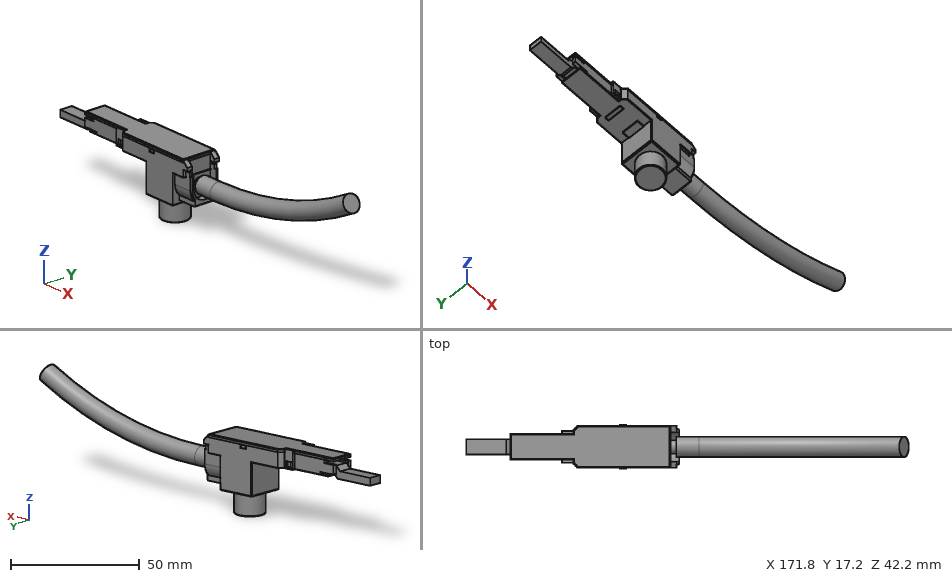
import cadquery as cq
import math


overall_length = 171.78
overall_height = 42.18
overall_width = 17.2

tube_diameter = 12.4
tube_height = 9.2
tube_chamfer = 0.4

block_half_length = 8.1
block_width = 16.4
block_bottom = tube_height
body_bottom = 23.0
body_front = -23.4
body_rear = 14.4
shoulder_chamfer = 1.8
arm_front = -47.8
arm_width = 10.2
block_chamfer = 0.5
body_chamfer = 0.3

top = 30.8
lid_thickness = 1.3
lid_bottom = top - lid_thickness
lid_chamfer = 0.4

ear_rear = 16.8
ear_bottom = 26.5
ear_inner_half_width = 5.7
ear_slope = ear_rear - body_rear

mouth_width = 7.2
mouth_rear = -41.0
floor_thickness = 0.7
floor_front = -44.8
upper_notch_rear = -42.9
upper_notch_bottom = 28.1
lower_notch_top = 24.3

clip_front = -27.7
clip_width = 12.4
clip_window_length = 2.4
clip_window_height = 2.4
clip_window_front = -26.6
clip_window_bottom = 23.6

side_pad_length = 2.6
side_pad_height = 1.4
side_pad_front = -5.3
foot_height = 0.5
foot_width = 8.0
foot_spans = ((-21.4, -19.5), (-11.6, -block_half_length))

tab_front = -64.9
tab_width = 6.0
tab_thickness = 3.2
tab_bottom = 22.3
tab_step = 2.0
tab_step_front = -49.4
tab_rear = -36.0
tab_bend_shift = tab_thickness * math.tan(math.radians(45.0 / 2))

cable_diameter = 8.0
core_diameter = 5.2
cable_axis_height = 18.7
cable_front = 16.6
bend_angle = math.radians(28.1)

collar_rear = 17.8
collar_half_width = 7.0
collar_top = 24.0
collar_bottom = 11.0
collar_round_top = 18.2
collar_round_bottom = 13.2
collar_chamfer = 0.5
trough_radius = ear_inner_half_width
nub_top = 25.7


def box(x_start, x_end, y_start, y_end, z_start, z_end):
    """Box between two corners, aligned with the axes."""
    size = (x_end - x_start, y_end - y_start, z_end - z_start)
    return cq.Workplane("XY").box(*size, centered=False).translate((x_start, y_start, z_start))


def centered_box(x_start, x_end, width, z_start, z_end):
    """Box that is symmetric about the XZ plane."""
    return box(x_start, x_end, -width / 2, width / 2, z_start, z_end)


def cylinder_along_x(x_start, x_end, diameter):
    """Cylinder on the cable axis."""
    base = cq.Workplane("YZ", origin=(x_start, 0, cable_axis_height))
    return base.circle(diameter / 2).extrude(x_end - x_start)


def body_slab(z_start, z_end):
    """Wide body with chamfered front shoulders, joined to the narrow arm."""
    wide = centered_box(body_front, body_rear, block_width, z_start, z_end)
    wide = wide.edges("|Z and <X").chamfer(shoulder_chamfer)
    return wide.union(centered_box(arm_front, body_front, arm_width, z_start, z_end))


def make_tab():
    """Flat contact bar with a 45 degree step up into the arm."""
    step_rear = tab_step_front + tab_step
    lower_top = tab_bottom + tab_thickness
    profile = [
        (tab_front, tab_bottom),
        (tab_step_front + tab_bend_shift, tab_bottom),
        (step_rear + tab_bend_shift, tab_bottom + tab_step),
        (tab_rear, tab_bottom + tab_step),
        (tab_rear, lower_top + tab_step),
        (step_rear, lower_top + tab_step),
        (tab_step_front, lower_top),
        (tab_front, lower_top),
    ]
    return cq.Workplane("XZ").polyline(profile).close().extrude(tab_width / 2, both=True)


def make_lid():
    """Cover plate over the arm and the wide body."""
    return body_slab(lid_bottom, top).faces(">Z").edges().chamfer(lid_chamfer)


def make_clip(side):
    """Rib beside the arm, with a window down to the arm wall."""
    y_limits = sorted((side * arm_width / 2, side * clip_width / 2))
    clip = box(clip_front, body_front, *y_limits, body_bottom, top)
    window_top = clip_window_bottom + clip_window_height
    window_rear = clip_window_front + clip_window_length
    return clip.cut(box(clip_window_front, window_rear, *y_limits, clip_window_bottom, window_top))


def make_ear(side):
    """Side cheek behind the wide body, sloped on top."""
    y_limits = sorted((side * ear_inner_half_width, side * block_width / 2))
    profile = [
        (body_rear, ear_bottom),
        (ear_rear, ear_bottom),
        (ear_rear, top - lid_chamfer - ear_slope),
        (body_rear, top - lid_chamfer),
    ]
    ear = cq.Workplane("XZ").polyline(profile).close().extrude(-(y_limits[1] - y_limits[0]))
    return ear.translate((0, y_limits[0], 0))


def make_housing(tab):
    """Solid body with the block below, open at the front around the tab."""
    block = centered_box(-block_half_length, block_half_length, block_width, block_bottom, lid_bottom)
    block = block.edges("<X or <Z").chamfer(block_chamfer)
    slab = body_slab(body_bottom, lid_bottom).faces("<Z").edges().chamfer(body_chamfer)
    housing = slab.union(block)

    floor_top = body_bottom + floor_thickness
    housing = housing.cut(centered_box(arm_front, mouth_rear, mouth_width, floor_top, lid_bottom))
    upper_notch = centered_box(arm_front, upper_notch_rear, arm_width, upper_notch_bottom, lid_bottom)
    housing = housing.cut(upper_notch)
    housing = housing.cut(centered_box(arm_front, floor_front, arm_width, body_bottom, lower_notch_top))
    housing = housing.cut(centered_box(floor_front, mouth_rear, arm_width, floor_top, lower_notch_top))
    housing = housing.cut(tab)

    for side in (-1, 1):
        housing = housing.union(make_clip(side)).union(make_ear(side))
        pad_limits = sorted((side * block_width / 2, side * overall_width / 2))
        pad_rear = side_pad_front + side_pad_length
        pad_bottom = lid_bottom - side_pad_height
        housing = housing.union(box(side_pad_front, pad_rear, *pad_limits, pad_bottom, lid_bottom))

    for foot_start, foot_end in foot_spans:
        foot_bottom = body_bottom - foot_height
        housing = housing.union(centered_box(foot_start, foot_end, foot_width, foot_bottom, body_bottom))
    return housing


def make_tube():
    """Round plug below the block."""
    tube = cq.Workplane("XY").circle(tube_diameter / 2).extrude(tube_height)
    return tube.faces("<Z").chamfer(tube_chamfer)


def make_cable():
    """Straight lead with a thinner core inside the collar, then an upward bend."""
    radius = cable_diameter / 2
    rise = overall_height - cable_axis_height
    bend_radius = (rise - radius * math.cos(bend_angle)) / (1 - math.cos(bend_angle))
    tip_x = tab_front + overall_length
    bend_start = tip_x - (bend_radius + radius) * math.sin(bend_angle)

    cable = cylinder_along_x(block_half_length, cable_front, core_diameter)
    cable = cable.union(cylinder_along_x(cable_front, bend_start, cable_diameter))
    section = cq.Workplane("YZ", origin=(bend_start, 0, cable_axis_height)).circle(radius)
    bend = section.revolve(math.degrees(bend_angle), (1, bend_radius), (0, bend_radius))
    return cable.union(bend)


def make_collar():
    """Clamp under the rear overhang, with a trough around the cable core."""
    round_angle = math.asin((collar_round_top - collar_round_bottom) / collar_half_width)
    foot_half_width = collar_half_width * math.cos(round_angle)
    middle_half_width = collar_half_width * math.cos(round_angle / 2)
    round_middle = collar_round_top - collar_half_width * math.sin(round_angle / 2)
    collar = (
        cq.Workplane("YZ", origin=(block_half_length, 0, 0))
        .moveTo(-foot_half_width, collar_bottom)
        .lineTo(foot_half_width, collar_bottom)
        .lineTo(foot_half_width, collar_round_bottom)
        .threePointArc((middle_half_width, round_middle), (collar_half_width, collar_round_top))
        .lineTo(collar_half_width, collar_top)
        .lineTo(-collar_half_width, collar_top)
        .lineTo(-collar_half_width, collar_round_top)
        .threePointArc((-middle_half_width, round_middle), (-foot_half_width, collar_round_bottom))
        .close()
        .extrude(collar_rear - block_half_length)
    )
    collar = collar.faces(">X").edges("<Z or >Y or <Y").chamfer(collar_chamfer)
    collar = collar.cut(centered_box(block_half_length, body_rear, block_width, body_bottom, collar_top))

    for side in (-1, 1):
        nub_limits = sorted((side * trough_radius, side * collar_half_width))
        collar = collar.union(box(body_rear, ear_rear, *nub_limits, collar_top, nub_top))

    collar = collar.cut(cylinder_along_x(body_rear, collar_rear, 2 * trough_radius))
    trough_mouth = centered_box(body_rear, collar_rear, 2 * trough_radius, cable_axis_height, nub_top)
    collar = collar.cut(trough_mouth)
    return collar.cut(cylinder_along_x(block_half_length, body_rear, core_diameter))


tab = make_tab()
lid = make_lid()
housing = make_housing(tab)
tube = make_tube()
cable = make_cable()
collar = make_collar()

result = cq.Compound.makeCompound(
    [housing.val(), lid.val(), tab.val(), tube.val(), cable.val(), collar.val()]
)